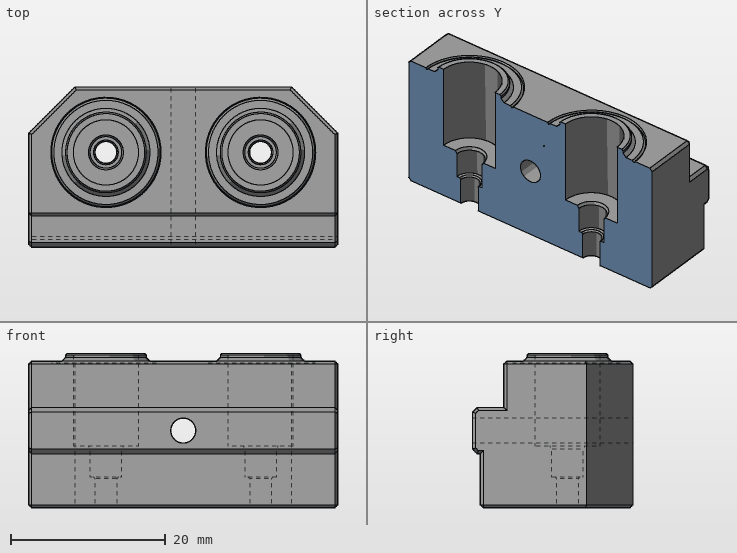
import cadquery as cq

LENGTH = 40.0
BLOCK_HEIGHT = 19.0
TOTAL_HEIGHT = 20.0
UPPER_DEPTH = 16.7
LOWER_DEPTH = 19.75
CORNER_CUT = 6.0
EDGE_CHAMFER = 0.4

RAIL_DEPTH = 20.75
RAIL_BOTTOM = 7.0
RAIL_TOP = 13.0
RAIL_CHAMFER = 0.6
CROSS_HOLE_DIAMETER = 3.2

BUSHING_SPACING = 20.0
BUSHING_SETBACK = 8.5
FLANGE_DIAMETER = 14.05
FLANGE_CHAMFER = 0.3
SEAT_FLARE = 0.1
NECK_BASE_DIAMETER = 11.4
NECK_DIAMETER = 10.45
NECK_CHAMFER = 0.2
BORE_DIAMETER = 8.45
BORE_DEPTH = 12.0

STEP_DIAMETER = 4.1
STEP_MOUTH_DIAMETER = 4.5
STEP_MOUTH_DEPTH = 0.4
STEP_DEPTH = 4.0
SCREW_DIAMETER = 2.8
SCREW_MOUTH_DIAMETER = 3.2


def revolved(radius_height_points):
    """Solid of revolution about Z from an outline of (radius, z) points."""
    outline = cq.Workplane("XZ").polyline(radius_height_points).close()
    return outline.revolve(360, (0, 0, 0), (0, 1, 0))


def make_block():
    """Stepped body with its front rail, cut back corners and chamfered edges."""
    side_outline = [
        (0, 0),
        (0, BLOCK_HEIGHT),
        (-UPPER_DEPTH, BLOCK_HEIGHT),
        (-UPPER_DEPTH, RAIL_TOP),
        (-RAIL_DEPTH + RAIL_CHAMFER, RAIL_TOP),
        (-RAIL_DEPTH, RAIL_TOP - RAIL_CHAMFER),
        (-RAIL_DEPTH, RAIL_BOTTOM + RAIL_CHAMFER),
        (-RAIL_DEPTH + RAIL_CHAMFER, RAIL_BOTTOM),
        (-LOWER_DEPTH, RAIL_BOTTOM),
        (-LOWER_DEPTH, 0),
    ]
    block = cq.Workplane("YZ").polyline(side_outline).close().extrude(LENGTH / 2, both=True)
    block = block.edges("|Z and >Y").chamfer(CORNER_CUT)

    corner_edges = cq.selectors.BoxSelector(
        (-LENGTH, -CORNER_CUT - EDGE_CHAMFER, 0),
        (LENGTH, -CORNER_CUT + EDGE_CHAMFER, BLOCK_HEIGHT),
    )
    sharp_edges = block.edges("|Z").edges(corner_edges).vals()
    rim_edges = block.faces("<X or >X or <Z or >Z").edges().vals()
    chamfered = [edge for edge in rim_edges if not any(edge.isSame(sharp) for sharp in sharp_edges)]
    return block.newObject(chamfered).chamfer(EDGE_CHAMFER)


def make_flange_groove():
    """V groove between the flared mouth of the bushing seat and the chamfered flange rim."""
    flange_radius = FLANGE_DIAMETER / 2
    return revolved([
        (flange_radius - FLANGE_CHAMFER, BLOCK_HEIGHT),
        (flange_radius, BLOCK_HEIGHT - FLANGE_CHAMFER),
        (flange_radius + SEAT_FLARE, BLOCK_HEIGHT),
    ])


def make_neck():
    """Raised neck of the bushing with a 45 degree foot and a chamfered top rim."""
    radius = NECK_DIAMETER / 2
    base_radius = NECK_BASE_DIAMETER / 2
    foot_top = BLOCK_HEIGHT + base_radius - radius
    return revolved([
        (0, BLOCK_HEIGHT),
        (base_radius, BLOCK_HEIGHT),
        (radius, foot_top),
        (radius, TOTAL_HEIGHT - NECK_CHAMFER),
        (radius - NECK_CHAMFER, TOTAL_HEIGHT),
        (0, TOTAL_HEIGHT),
    ])


def make_bore():
    """Bushing bore followed by the stepped hole down through the bottom."""
    bore_floor = TOTAL_HEIGHT - BORE_DEPTH
    step_floor = bore_floor - STEP_DEPTH
    screw_radius = SCREW_DIAMETER / 2
    screw_mouth_radius = SCREW_MOUTH_DIAMETER / 2
    return revolved([
        (0, 0),
        (screw_radius, 0),
        (screw_radius, step_floor - (screw_mouth_radius - screw_radius)),
        (screw_mouth_radius, step_floor),
        (STEP_DIAMETER / 2, step_floor),
        (STEP_DIAMETER / 2, bore_floor - STEP_MOUTH_DEPTH),
        (STEP_MOUTH_DIAMETER / 2, bore_floor),
        (BORE_DIAMETER / 2, bore_floor),
        (BORE_DIAMETER / 2, TOTAL_HEIGHT),
        (0, TOTAL_HEIGHT),
    ])


def make_cross_hole():
    """Hole through the full depth, centred in the rail face."""
    rail_middle = (RAIL_BOTTOM + RAIL_TOP) / 2
    hole = cq.Workplane("XZ").center(0, rail_middle).circle(CROSS_HOLE_DIAMETER / 2)
    return hole.extrude(RAIL_DEPTH)


result = make_block()
for bushing_x in (-BUSHING_SPACING / 2, BUSHING_SPACING / 2):
    bushing_centre = (bushing_x, -BUSHING_SETBACK, 0)
    result = result.cut(make_flange_groove().translate(bushing_centre))
    result = result.union(make_neck().translate(bushing_centre))
    result = result.cut(make_bore().translate(bushing_centre))
result = result.cut(make_cross_hole())